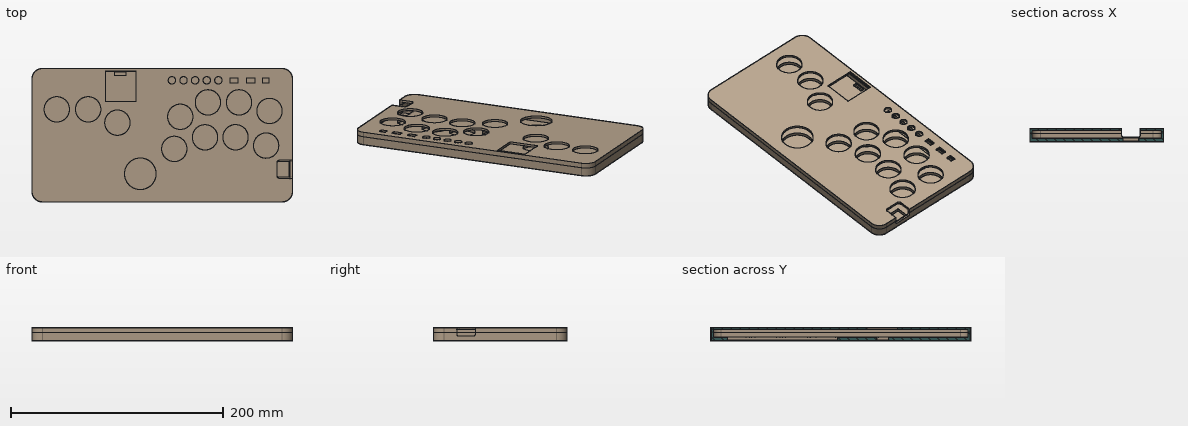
import cadquery as cq

case_length = 246.0
case_width = 126.06
case_height = 12.5
corner_radius = 10.0
wall = 2.3
half_length = case_length / 2
half_width = case_width / 2

split_height = 8.0
lid_skin = 2.0
lid_underside = case_height - lid_skin
floor_height = 3.5
recess_floor = 0.6

button_diameter = 23.9
button_centres = [
    (-99.45, 24.4),
    (-69.85, 24.4),
    (-42.3, 11.8),
    (17.0, 17.35),
    (43.05, 30.95),
    (72.4, 30.95),
    (101.15, 22.85),
    (11.35, -12.9),
    (40.35, -2.0),
    (69.15, -1.95),
    (97.95, -9.8),
]
large_button_diameter = 29.8
large_button_centre = (-20.7, -36.4)

small_row_y = 51.75
small_button_diameter = 7.0
small_button_count = 5
small_button_pitch = 10.95
small_row_start = 9.1
switch_opening_depth = 4.6
switch_openings = [(67.8, 7.7), (83.5, 8.4), (97.7, 6.1)]

row_recess_depth = 12.1
row_recess_margin = 6.0
last_switch_x, last_switch_length = switch_openings[-1]

wall_ledge = 1.0

window_size = 28.4
window_centre = (-39.1, 46.0)
header_length = 10.7
header_centre_x = -39.45
header_front_y = 56.3

notch_inner_x = 108.4
notch_width = 17.3
notch_centre_y = -32.2
notch_corner_radius = 2.3
notch_y = (notch_centre_y - notch_width / 2, notch_centre_y + notch_width / 2)
port_floor = 4.6
port_corner_radius = 1.3
connector_recess_width = 14.6


def rounded_block(inset, bottom, top):
    """Block with the case's rounded outline, moved inward by the inset."""
    return (
        cq.Workplane("XY", origin=(0, 0, bottom))
        .rect(case_length - 2 * inset, case_width - 2 * inset)
        .extrude(top - bottom)
        .edges("|Z")
        .fillet(corner_radius - inset)
    )


def box_between(x_limits, y_limits, z_limits):
    """Axis-aligned box between the given limits."""
    size = [high - low for low, high in (x_limits, y_limits, z_limits)]
    corner = (x_limits[0], y_limits[0], z_limits[0])
    return cq.Workplane("XY", origin=corner).box(*size, centered=False)


def discs(centres, diameter, bottom, top):
    """Upright cylinders of one diameter at the given centres."""
    return (
        cq.Workplane("XY", origin=(0, 0, bottom))
        .pushPoints(centres)
        .circle(diameter / 2)
        .extrude(top - bottom)
    )


def push_buttons(bottom, top):
    """Cylinders at all the push buttons, the large one included."""
    buttons = discs(button_centres, button_diameter, bottom, top)
    return buttons.union(discs([large_button_centre], large_button_diameter, bottom, top))


def skin_window(x, y, length, depth):
    """Rectangular cutter through the lid skin, centred at x, y."""
    return cq.Workplane("XY", origin=(x, y, lid_underside)).rect(length, depth).extrude(lid_skin)


def floor_recess(x_limits, y_limits):
    """Cutter for a rectangular recess in the tray floor."""
    return box_between(x_limits, y_limits, (recess_floor, floor_height))


def make_lid():
    """Top plate with a downward skirt, pierced for the controls, display and connector."""
    lid = rounded_block(0, split_height, case_height)
    lid = lid.cut(rounded_block(wall, split_height, lid_underside))
    lid = lid.cut(push_buttons(lid_underside, case_height))

    small_centres = [
        (small_row_start + i * small_button_pitch, small_row_y) for i in range(small_button_count)
    ]
    lid = lid.cut(discs(small_centres, small_button_diameter, lid_underside, case_height))
    for x, length in switch_openings:
        lid = lid.cut(skin_window(x, small_row_y, length, switch_opening_depth))
    lid = lid.cut(skin_window(*window_centre, window_size, window_size))

    notch = box_between((notch_inner_x, half_length), notch_y, (split_height, case_height))
    return lid.cut(notch.edges("|Z and <X").fillet(notch_corner_radius))


def make_tray():
    """Open tray whose thick floor is recessed below the controls and connectors."""
    tray = rounded_block(0, 0, split_height)
    tray = tray.cut(rounded_block(wall, floor_height, split_height))
    tray = tray.cut(push_buttons(recess_floor, floor_height))

    row_recess = floor_recess(
        (small_row_start - row_recess_margin, last_switch_x + last_switch_length / 2 + row_recess_margin),
        (small_row_y - row_recess_depth / 2, small_row_y + row_recess_depth / 2),
    )
    header_recess = floor_recess(
        (header_centre_x - header_length / 2, header_centre_x + header_length / 2),
        (header_front_y, half_width - wall - wall_ledge),
    )
    connector_recess = floor_recess(
        (notch_inner_x, half_length - wall - wall_ledge),
        (notch_centre_y - connector_recess_width / 2, notch_centre_y + connector_recess_width / 2),
    )
    tray = tray.cut(row_recess).cut(header_recess).cut(connector_recess)

    port = box_between((half_length - wall, half_length), notch_y, (port_floor, split_height))
    return tray.cut(port.edges("|X and <Z").fillet(port_corner_radius))


lid = make_lid()
tray = make_tray()
result = cq.Compound.makeCompound([lid.val(), tray.val()])